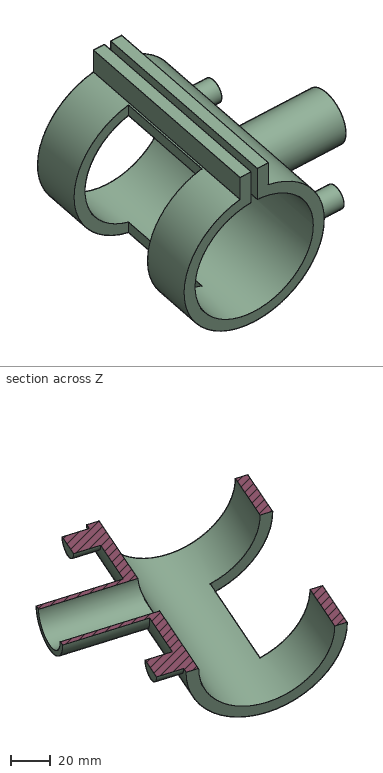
import cadquery as cq

length = 120.0
outer_radius = 44.5
inner_radius = 37.5

ear_top = 58.5
ear_thickness = 7.0
slit_width = 4.0

window_width = 60.0
window_edge_y = -10.0

pipe_diameter = 32.0
pipe_bore = 26.0
pipe_end_y = 92.5
pin_diameter = 14.0
pin_spacing = 100.0
pin_end_y = 59.5


def cylinder_y(diameter, end_y, x=0):
    """Cylinder running from the ring axis toward +Y."""
    plane = cq.Plane(origin=(x, 0, 0), xDir=(1, 0, 0), normal=(0, 1, 0))
    return cq.Workplane(plane).circle(diameter / 2).extrude(end_y)


def cylinder_x(radius):
    """Cylinder along X, centered on the origin."""
    return cq.Workplane("YZ").circle(radius).extrude(length / 2, both=True)


def block_above_axis(width_y):
    """Full-length block from the ring axis up to the ear tops."""
    return cq.Workplane("XY").rect(length, width_y).extrude(ear_top)


body = cylinder_x(outer_radius)
body = body.union(block_above_axis(slit_width + 2 * ear_thickness))
body = body.union(cylinder_y(pipe_diameter, pipe_end_y))
for pin_x in (-pin_spacing / 2, pin_spacing / 2):
    body = body.union(cylinder_y(pin_diameter, pin_end_y, pin_x))

body = body.cut(cylinder_x(inner_radius))
body = body.cut(block_above_axis(slit_width))
body = body.cut(cylinder_y(pipe_bore, pipe_end_y))

window_depth = outer_radius + window_edge_y
window = cq.Workplane("XY").box(window_width, window_depth, 2 * outer_radius)
window = window.translate((0, window_edge_y - window_depth / 2, 0))

result = body.cut(window)